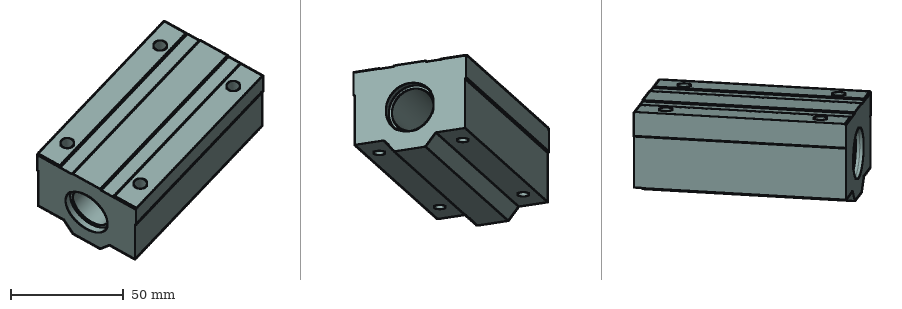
import cadquery as cq

LENGTH = 96.0
TOP_Z = 21.0
BOTTOM_Z = -20.0

UPPER_HALF_WIDTH = 27.0
SIDE_STEP = 0.5
LOWER_HALF_WIDTH = UPPER_HALF_WIDTH - SIDE_STEP
SIDE_STEP_Z = 10.0
SHOULDER_Z = -14.0

KEEL_ROOT_HALF_WIDTH = 12.5
KEEL_TIP_HALF_WIDTH = 7.5

GROOVE_DEPTH = 0.5
LAND_HALF_WIDTH = 7.5
PAD_INNER_X = 15.0
EDGE_BEVEL = GROOVE_DEPTH

BORE_DIAMETER = 20.0
RECESS_DIAMETER = 23.0
RECESS_DEPTH = 3.5

HOLE_SPACING_X = 40.0
HOLE_SPACING_Y = 70.0
HOLE_DIAMETER = 5.2
HOLE_UPPER_DIAMETER = 6.0
HOLE_UPPER_DEPTH = 12.0


def make_body():
    """Extrude the cross-section, symmetric about X = 0, along the full length."""
    groove_z = TOP_Z - GROOVE_DEPTH
    right_half = [
        (KEEL_TIP_HALF_WIDTH, BOTTOM_Z),
        (KEEL_ROOT_HALF_WIDTH, SHOULDER_Z),
        (LOWER_HALF_WIDTH, SHOULDER_Z),
        (LOWER_HALF_WIDTH, SIDE_STEP_Z - SIDE_STEP),
        (UPPER_HALF_WIDTH, SIDE_STEP_Z),
        (UPPER_HALF_WIDTH, TOP_Z),
        (PAD_INNER_X, TOP_Z),
        (PAD_INNER_X - EDGE_BEVEL, groove_z),
        (LAND_HALF_WIDTH + EDGE_BEVEL, groove_z),
        (LAND_HALF_WIDTH, TOP_Z),
    ]
    left_half = [(-x, z) for x, z in reversed(right_half)]
    outline = cq.Workplane("XZ").polyline(right_half + left_half).close()
    return outline.extrude(LENGTH / 2, both=True)


def make_pad_end_bevel(end):
    """Wedge that slopes both pads down to the groove floor at one end (-1 or +1)."""
    end_y = end * LENGTH / 2
    wedge_points = [
        (end_y - end * EDGE_BEVEL, TOP_Z),
        (end_y, TOP_Z),
        (end_y, TOP_Z - GROOVE_DEPTH),
    ]
    wedge = cq.Workplane("YZ").polyline(wedge_points).close().extrude(UPPER_HALF_WIDTH, both=True)
    land_width = 2 * (LAND_HALF_WIDTH + EDGE_BEVEL)
    land = cq.Workplane("XY").box(land_width, 2 * LENGTH, 2 * TOP_Z)
    return wedge.cut(land)


def make_y_cylinder(diameter, length, centre_y=0.0):
    """Cylinder on the bore axis, centred at the given Y."""
    plane = cq.Workplane("XZ", origin=(0, centre_y, 0))
    return plane.circle(diameter / 2).extrude(length / 2, both=True)


def make_bore():
    """Through bore together with the recesses at both ends."""
    bore = make_y_cylinder(BORE_DIAMETER, LENGTH)
    for end in (-1, 1):
        recess_y = end * (LENGTH - RECESS_DEPTH) / 2
        bore = bore.union(make_y_cylinder(RECESS_DIAMETER, RECESS_DEPTH, recess_y))
    return bore


def drill_mounting_holes(body):
    """Drill the four stepped vertical holes down through the pads."""
    holes = cq.Workplane("XY", origin=(0, 0, TOP_Z)).rarray(HOLE_SPACING_X, HOLE_SPACING_Y, 2, 2)
    through = holes.circle(HOLE_DIAMETER / 2).extrude(BOTTOM_Z - TOP_Z)
    upper = holes.circle(HOLE_UPPER_DIAMETER / 2).extrude(-HOLE_UPPER_DEPTH)
    return body.cut(through).cut(upper)


block = make_body()
for end in (-1, 1):
    block = block.cut(make_pad_end_bevel(end))
block = block.cut(make_bore())
result = drill_mounting_holes(block)